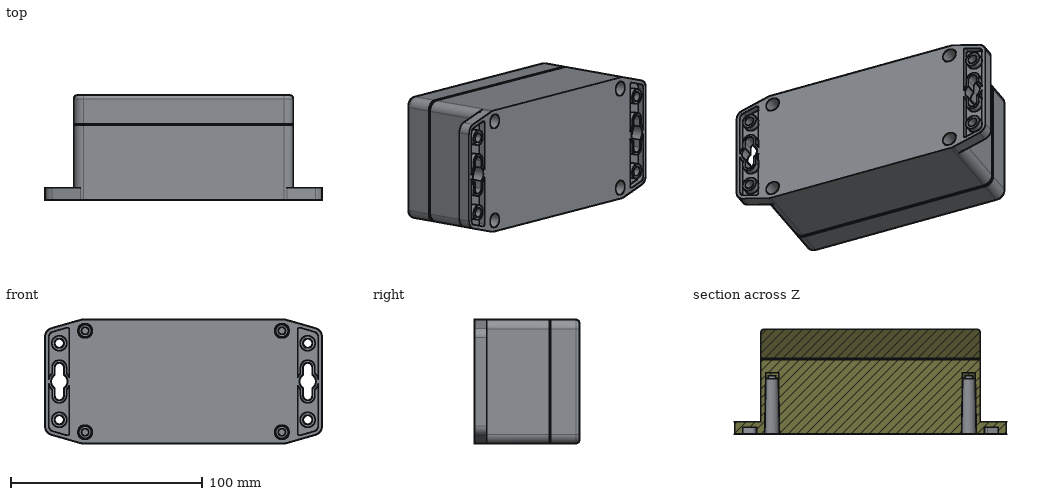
import cadquery as cq
import math


length = 145.0
depth = 55.0
height = 65.0
front = -depth / 2
back = depth / 2

box_length = 115.0
corner_radius = 5.0
lid_depth = 15.1
lid_edge_fillet = 2.0
gasket_thickness = 0.9
gasket_inset = 0.36
lid_start = back - lid_depth
base_end = lid_start - gasket_thickness

flange_thickness = 6.5
flange_taper_angle = math.radians(16.0)
flange_corner_radius = 5.0
taper_start_x = box_length / 2 - corner_radius * (1 - math.sin(flange_taper_angle))
taper_start_z = height / 2 - corner_radius * (1 - math.cos(flange_taper_angle))

pocket_wall = 2.0
pocket_inner_x = 59.7
pocket_inner_radius = 1.0
pocket_depth = 3.5

mount_x = 65.0
mount_spacing = 40.0
mount_hole_radius = 2.5
mount_boss_radius = 3.9
keyhole_radius = 4.4
keyhole_slot_radius = 2.5
keyhole_half_length = 9.9
keyhole_wall = 1.3
hole_draft = 1.0

screw_spacing_x = 103.0
screw_spacing_z = 53.0
bore_radius = 3.8
bore_depth = 29.0
bore_draft = 1.0
bore_end = front + bore_depth
screw_head_radius = bore_radius - bore_depth * math.tan(math.radians(bore_draft))
screw_head_height = 2.9
socket_radius = 1.9
socket_depth = 1.5

screw_points = [
    (sx * screw_spacing_x / 2, sz * screw_spacing_z / 2) for sx in (-1, 1) for sz in (-1, 1)
]


def plane_at(y):
    """Sketch plane at depth y, with local axes along +X and +Z; extrude by a negative length to go +Y."""
    return cq.Workplane("XZ", origin=(0, y, 0))


def rounded_box(start, end, inset=0.0):
    """Rounded rectangular slab of the box outline, from y = start to y = end, shrunk by inset."""
    slab = plane_at(start).rect(box_length - 2 * inset, height - 2 * inset).extrude(start - end)
    return slab.edges("|Y").fillet(corner_radius - inset)


def cylinder(x, z, radius, start, end, draft=0.0):
    """Round bar along Y; it narrows towards y = end by the draft angle in degrees."""
    return plane_at(start).center(x, z).circle(radius).extrude(start - end, taper=draft)


def taper_height(x, inset=0.0):
    """Half height of the tapered flange outline at x, moved inward by inset."""
    drop = (x - taper_start_x) * math.tan(flange_taper_angle)
    return taper_start_z - drop - inset / math.cos(flange_taper_angle)


def flange_plate():
    """Plate with both tapered ends, running through the base."""
    end_x = length / 2
    corner_z = taper_height(end_x)
    points = [
        (taper_start_x, taper_start_z),
        (end_x, corner_z),
        (end_x, -corner_z),
        (taper_start_x, -taper_start_z),
        (-taper_start_x, -taper_start_z),
        (-end_x, -corner_z),
        (-end_x, corner_z),
        (-taper_start_x, taper_start_z),
    ]
    plate = plane_at(front).polyline(points).close().extrude(-flange_thickness)
    return plate.edges("|Y and (<X or >X)").fillet(flange_corner_radius)


def pocket_block():
    """Tapered pocket of the +X flange."""
    outer_x = length / 2 - pocket_wall
    outer_z = taper_height(outer_x, pocket_wall)
    inner_z = taper_height(pocket_inner_x, pocket_wall)
    points = [
        (pocket_inner_x, inner_z),
        (outer_x, outer_z),
        (outer_x, -outer_z),
        (pocket_inner_x, -inner_z),
    ]
    block = plane_at(front).polyline(points).close().extrude(-pocket_depth)
    block = block.edges("|Y and >X").fillet(flange_corner_radius - pocket_wall)
    return block.edges("|Y and <X").fillet(pocket_inner_radius)


def keyhole(offset, thickness, draft=0.0):
    """Round hole of the +X flange with a slot above and below, its outline grown by offset."""
    slot_length = 2 * (keyhole_half_length + offset)
    slot_width = 2 * (keyhole_slot_radius + offset)
    slot = plane_at(front).center(mount_x, 0).slot2D(slot_length, slot_width, 90)
    slot = slot.extrude(-thickness, taper=draft)
    return slot.union(cylinder(mount_x, 0, keyhole_radius + offset, front, front + thickness, draft))


def mount_cylinders(radius, thickness, draft=0.0):
    """Cylinders on the two mounting hole axes of the +X flange."""
    lower = cylinder(mount_x, -mount_spacing / 2, radius, front, front + thickness, draft)
    upper = cylinder(mount_x, mount_spacing / 2, radius, front, front + thickness, draft)
    return lower.union(upper)


def flange_cutout():
    """Everything removed from the +X flange: pocket around the bosses, plus the through holes."""
    pocket = pocket_block()
    pocket = pocket.cut(mount_cylinders(mount_boss_radius, pocket_depth))
    pocket = pocket.cut(keyhole(keyhole_wall, pocket_depth))
    holes = mount_cylinders(mount_hole_radius, flange_thickness, hole_draft)
    return pocket.union(holes).union(keyhole(0.0, flange_thickness, hole_draft))


def make_base():
    base = rounded_box(front, base_end).union(flange_plate())
    cutout = flange_cutout()
    base = base.cut(cutout).cut(cutout.mirror("YZ"))
    for x, z in screw_points:
        base = base.cut(cylinder(x, z, bore_radius, front, bore_end, bore_draft))
        base = base.cut(cylinder(x, z, screw_head_radius, bore_end, bore_end + screw_head_height))
    return base


def make_gasket():
    return rounded_box(base_end, lid_start, gasket_inset)


def make_lid():
    return rounded_box(lid_start, back).faces(">Y").edges().fillet(lid_edge_fillet)


def make_screw(x, z):
    """Screw head with a round socket, seated beyond the narrow end of its bore."""
    head = cylinder(x, z, screw_head_radius, bore_end, bore_end + screw_head_height)
    return head.cut(cylinder(x, z, socket_radius, bore_end, bore_end + socket_depth))


base = make_base()
gasket = make_gasket()
lid = make_lid()
screws = [make_screw(x, z).val() for x, z in screw_points]

result = cq.Compound.makeCompound([base.val(), gasket.val(), lid.val(), *screws])